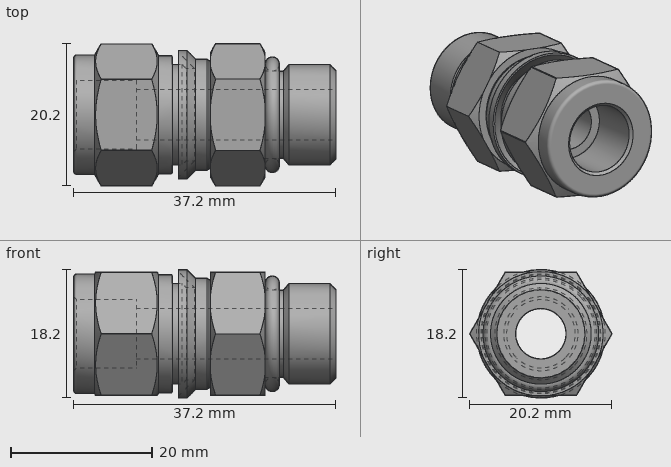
import cadquery as cq
import math

length = 37.2
hex_corner_diameter = 20.2
hex_chamfer_slope = math.tan(math.radians(30))

nut_collar_diameter = 17.0
nut_collar_end = 2.98
nut_face_edge = 0.5
nut_corner_diameter = 20.13
nut_tail_diameter = 16.8
nut_tail_start = 12.05
nut_tail_end = 14.0
nut_tail_edge = 0.22

neck_diameter = 14.3
flange_diameter = 18.25
flange_start = 14.85
flange_rim_end = 16.07
shoulder_diameter = 15.8
shoulder_edge = 0.22

recess_mouth_diameter = 17.7
neck_chamfer_start = 15.35
undercut_diameter = 13.05

body_hex_start = 19.4
body_hex_end = 27.15
body_hex_face_diameter = 17.65

groove_diameter = 12.4
ring_thickness = 2.0
thread_diameter = 14.3
thread_start = 30.55
thread_lead_in = 0.82
thread_end_diameter = 12.5
thread_end_chamfer = (thread_diameter - thread_end_diameter) / 2

through_diameter = 7.1
socket_diameter = 9.7
socket_depth = 8.93
socket_chamfer = 0.4


def revolve_about_x(points):
    """Revolve a closed (x, radius) outline about the X axis."""
    return cq.Workplane("XY").polyline(points).close().revolve(360, (0, 0, 0), (1, 0, 0))


def cylinder(start, end, diameter):
    """Round bar along X between two stations."""
    return cq.Workplane("YZ", origin=(start, 0, 0)).circle(diameter / 2).extrude(end - start)


def chamfered_hex(start, end, start_diameter, end_diameter, corner_diameter):
    """Hexagon with corners on +-Y, trimmed at both ends by cones and at its corners by a cylinder."""
    prism = cq.Workplane("YZ", origin=(start, 0, 0)).polygon(6, hex_corner_diameter).extrude(end - start)
    start_run = (corner_diameter - start_diameter) / 2 * hex_chamfer_slope
    end_run = (corner_diameter - end_diameter) / 2 * hex_chamfer_slope
    envelope = revolve_about_x([
        (start, 0),
        (start, start_diameter / 2),
        (start + start_run, corner_diameter / 2),
        (end - end_run, corner_diameter / 2),
        (end, end_diameter / 2),
        (end, 0),
    ])
    return prism.intersect(envelope)


def make_nut_end():
    collar = cylinder(0, nut_collar_end, nut_collar_diameter).faces("<X").edges().fillet(nut_face_edge)
    grip = chamfered_hex(
        nut_collar_end, nut_tail_start, nut_collar_diameter, nut_tail_diameter, nut_corner_diameter
    )
    tail = cylinder(nut_tail_start, nut_tail_end, nut_tail_diameter).faces(">X").edges().fillet(nut_tail_edge)
    return collar.union(grip).union(tail)


def make_middle():
    shoulder_start = flange_rim_end + (flange_diameter - shoulder_diameter) / 2
    recess_floor = flange_start + (recess_mouth_diameter - undercut_diameter) / 2
    shoulder_end_radius = shoulder_diameter / 2 - shoulder_edge
    return revolve_about_x([
        (nut_tail_end, 0),
        (nut_tail_end, neck_diameter / 2),
        (neck_chamfer_start, neck_diameter / 2),
        (neck_chamfer_start + (neck_diameter - undercut_diameter) / 2, undercut_diameter / 2),
        (recess_floor, undercut_diameter / 2),
        (flange_start, recess_mouth_diameter / 2),
        (flange_start, flange_diameter / 2),
        (flange_rim_end, flange_diameter / 2),
        (shoulder_start, shoulder_diameter / 2),
        (body_hex_start - 2 * shoulder_edge, shoulder_diameter / 2),
        (body_hex_start - shoulder_edge, shoulder_end_radius),
        (body_hex_start, shoulder_end_radius),
        (body_hex_start, 0),
    ])


def make_threaded_end():
    return revolve_about_x([
        (body_hex_end, 0),
        (body_hex_end, groove_diameter / 2),
        (thread_start - thread_lead_in, groove_diameter / 2),
        (thread_start, thread_diameter / 2),
        (length - thread_end_chamfer, thread_diameter / 2),
        (length, thread_end_diameter / 2),
        (length, 0),
    ])


def make_bore():
    """Through bore with a wider tube socket, chamfered at its mouth."""
    return revolve_about_x([
        (0, 0),
        (0, socket_diameter / 2 + socket_chamfer),
        (socket_chamfer, socket_diameter / 2),
        (socket_depth, socket_diameter / 2),
        (socket_depth, through_diameter / 2),
        (length, through_diameter / 2),
        (length, 0),
    ])


def make_fitting():
    body_hex = chamfered_hex(
        body_hex_start, body_hex_end, body_hex_face_diameter, body_hex_face_diameter, hex_corner_diameter
    )
    solid = make_nut_end().union(make_middle()).union(body_hex).union(make_threaded_end())
    return solid.cut(make_bore())


def make_seal_ring():
    """O-ring resting on the groove and against the body hexagon."""
    ring_centre_x = body_hex_end + ring_thickness / 2
    ring_centre_radius = (groove_diameter + ring_thickness) / 2
    return (
        cq.Workplane("XY")
        .center(ring_centre_x, ring_centre_radius)
        .circle(ring_thickness / 2)
        .revolve(360, (0, -ring_centre_radius, 0), (1, -ring_centre_radius, 0))
    )


fitting = make_fitting()
seal_ring = make_seal_ring()
result = cq.Compound.makeCompound([fitting.val(), seal_ring.val()])